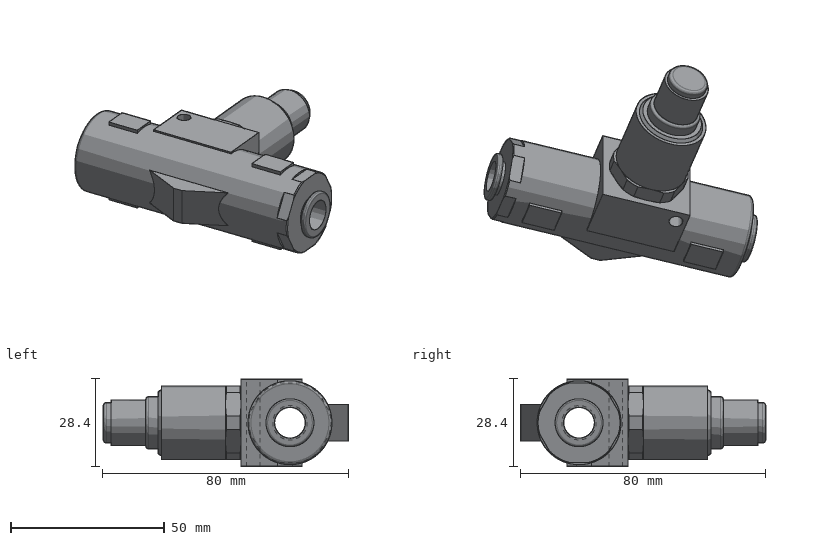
import cadquery as cq
import math

overall_length = 89.0
tube_radius = 13.7
tube_half_length = 41.4
left_end_fillet = 1.0
right_end_chamfer = 0.4
bore_radius = 5.0

grip_start_x = 37.4
grip_apothem = 13.0

neck_radius = 5.6
collar_radius = 7.8
collar_thickness = 1.7
collar_fillet = 0.5

raised_half_height = 14.2
block_left_x = -18.6
block_width = 30.0
block_front_y = -0.8
block_back_y = 16.0
hole_radius = 2.2
hole_x = -15.0
hole_y = 12.0

pad_length = 11.0
pad_width = 8.0
pad_left_edges = (-33.9, 21.5)

wedge_center_x = 2.4
wedge_tip_y = -19.05
wedge_tip_half_width = 1.6
wedge_slope = 2.03
wedge_root_y = -8.9
wedge_height = 12.0

adjuster_x = block_left_x + block_width / 2
barrel_radius = 12.0
nut_apothem = barrel_radius
nut_corner_radius = 12.8
nut_edge_chamfer = 0.3
shoulder_base_radius = 10.9
shoulder_top_radius = 10.1
ring_radius = 8.5
ring_fillet = 0.9
stem_radius = 7.5
tip_radius = 6.6
tip_fillet = 1.1

nut_end_y = 21.0
barrel_end_y = 42.0
shoulder_end_y = 43.1
ring_end_y = 47.1
stem_end_y = 58.4
tip_end_y = 61.0


def x_cylinder(radius, start_x, end_x):
    return cq.Workplane("YZ").workplane(offset=start_x).circle(radius).extrude(end_x - start_x)


def y_cylinder(radius, start_y, end_y):
    """Cylinder on the adjuster axis; the XZ plane faces -Y, so lengths along +Y are negative."""
    plane = cq.Workplane("XZ", origin=(adjuster_x, start_y, 0))
    return plane.circle(radius).extrude(start_y - end_y)


def hexagon_diameter(apothem):
    return 2 * apothem / math.cos(math.pi / 6)


def make_tube():
    tube = x_cylinder(tube_radius, -tube_half_length, tube_half_length)
    tube = tube.faces("<X").edges().fillet(left_end_fillet)
    tube = tube.faces(">X").edges().chamfer(right_end_chamfer)
    grip_length = tube_half_length - grip_start_x
    outside_grip = (
        cq.Workplane("YZ")
        .workplane(offset=grip_start_x)
        .circle(2 * tube_radius)
        .polygon(6, hexagon_diameter(grip_apothem))
        .extrude(grip_length)
    )
    return tube.cut(outside_grip)


def make_collar(side):
    """Neck and rounded collar; side is -1 for the left end and +1 for the right end."""
    outer_x = side * overall_length / 2
    inner_x = outer_x - side * collar_thickness
    flange = x_cylinder(collar_radius, min(inner_x, outer_x), max(inner_x, outer_x))
    flange = flange.edges().fillet(collar_fillet)
    neck = x_cylinder(neck_radius, min(0, inner_x), max(0, inner_x))
    return flange.union(neck)


def make_block():
    return cq.Workplane("XY").box(
        block_width, block_back_y - block_front_y, 2 * raised_half_height, centered=(False, False, True)
    ).translate((block_left_x, block_front_y, 0))


def make_pads(left_x):
    """Matching pads above and below the tube, made as one bar through it."""
    return cq.Workplane("XY").box(
        pad_length, pad_width, 2 * raised_half_height, centered=(False, True, True)
    ).translate((left_x, 0, 0))


def make_wedge():
    root_half_width = wedge_tip_half_width + wedge_slope * (wedge_root_y - wedge_tip_y)
    return (
        cq.Workplane("XY")
        .polyline([
            (wedge_center_x - root_half_width, wedge_root_y),
            (wedge_center_x - wedge_tip_half_width, wedge_tip_y),
            (wedge_center_x + wedge_tip_half_width, wedge_tip_y),
            (wedge_center_x + root_half_width, wedge_root_y),
        ])
        .close()
        .extrude(wedge_height / 2, both=True)
    )


def make_housing():
    housing = make_tube().union(make_block()).union(make_wedge())
    for side in (-1, 1):
        housing = housing.union(make_collar(side))
    for left_x in pad_left_edges:
        housing = housing.union(make_pads(left_x))
    bore = x_cylinder(bore_radius, -overall_length / 2, overall_length / 2)
    hole = (
        cq.Workplane("XY")
        .center(hole_x, hole_y)
        .circle(hole_radius)
        .extrude(raised_half_height, both=True)
    )
    return housing.cut(bore).cut(hole)


def make_nut():
    """Hexagon with its corners turned round and both rims chamfered; two flats face up and down."""
    length = nut_end_y - block_back_y
    hexagon = (
        cq.Workplane("XZ", origin=(adjuster_x, block_back_y, 0))
        .polygon(6, hexagon_diameter(nut_apothem))
        .extrude(-length)
    )
    blank = y_cylinder(nut_corner_radius, block_back_y, nut_end_y)
    blank = blank.edges().chamfer(nut_edge_chamfer, nut_corner_radius - nut_apothem)
    return hexagon.intersect(blank)


def make_adjuster():
    barrel = y_cylinder(barrel_radius, nut_end_y, barrel_end_y)
    shoulder = (
        cq.Workplane("XZ", origin=(adjuster_x, barrel_end_y, 0))
        .circle(shoulder_base_radius)
        .workplane(offset=barrel_end_y - shoulder_end_y)
        .circle(shoulder_top_radius)
        .loft()
    )
    ring = y_cylinder(ring_radius, shoulder_end_y, ring_end_y).faces(">Y").edges().fillet(ring_fillet)
    stem = y_cylinder(stem_radius, ring_end_y, stem_end_y)
    tip = y_cylinder(tip_radius, stem_end_y, tip_end_y).faces(">Y").edges().fillet(tip_fillet)
    return make_nut().union(barrel).union(shoulder).union(ring).union(stem).union(tip)


housing = make_housing()
adjuster = make_adjuster()
result = cq.Compound.makeCompound([housing.val(), adjuster.val()])